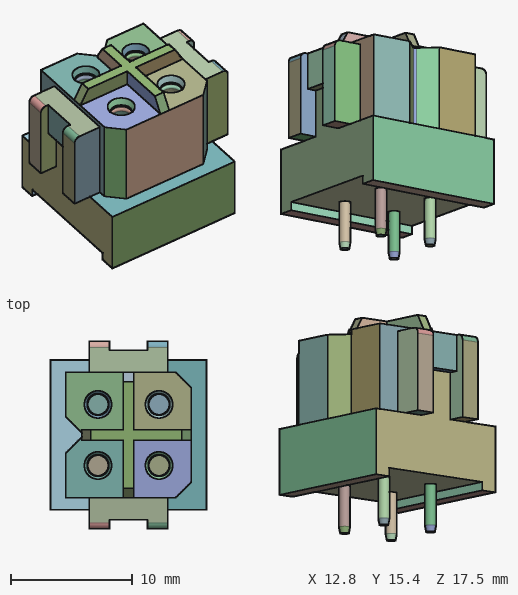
import cadquery as cq
import math


base_x = 12.8
base_y = 12.3
base_top = 5.5
foot_width = 1.42
foot_height = 0.7

block_width = 10.3
block_top = 12.86
corner_chamfer = 1.3
notch_half_width = 1.5
notch_radius = 0.21
half_block = block_width / 2

rib_width = 0.88
rib_top = 14.25
overall_z = 17.5
rib_notch_end = -3.82
rib_notch_lip = 0.12
rib_slope = math.tan(math.radians(30))

overall_y = 15.4
clip_width = 6.44
clip_top = 12.45
clip_edge_radius = 0.5
window_width = 3.12
bridge_y = 6.96
bridge_bottom = 9.42

pitch = 5.0
mouth_radius = 1.12
throat_radius = 0.9
mouth_depth = 0.56
throat_depth = 0.7

barrel_radius = 1.15
barrel_depth = 0.95
barrel_top = block_top - barrel_depth
lip_radius = 0.21
bore_radius = 0.84
floor_thickness = 0.52
tail_radius = 0.47
tail_end = rib_top - overall_z
tip_radius = 0.37
tip_length = 0.52

contact_places = [(x * pitch / 2, y * pitch / 2) for x in (-1, 1) for y in (-1, 1)]


def box(x_min, x_max, y_min, y_max, z_min, z_max):
    """Box between the given limits."""
    size = (x_max - x_min, y_max - y_min, z_max - z_min)
    return cq.Workplane("XY").box(*size, centered=False).translate((x_min, y_min, z_min))


def make_base():
    """Block with a channel along Y below it, which leaves a foot on each side."""
    base = box(-base_x / 2, base_x / 2, -base_y / 2, base_y / 2, 0, base_top)
    channel_half = base_x / 2 - foot_width
    return base.cut(box(-channel_half, channel_half, -base_y / 2, base_y / 2, 0, foot_height))


def make_block():
    """Square block with chamfered +X corners and a round-bottomed V notch in its -X side."""
    height = block_top - base_top
    block = cq.Workplane("XY").workplane(offset=base_top).rect(block_width, block_width).extrude(height)
    block = block.edges("|Z and >X").chamfer(corner_chamfer)
    notch = (
        cq.Workplane("XY").workplane(offset=base_top)
        .moveTo(-half_block, -notch_half_width)
        .lineTo(-half_block + notch_half_width, 0)
        .lineTo(-half_block, notch_half_width)
        .close().extrude(height)
        .edges("|Z and >X").fillet(notch_radius)
    )
    return block.cut(notch)


def make_ribs():
    """Two crossed ribs with sloping ends."""
    height = rib_top - block_top
    run = height * rib_slope
    lip_run = (height - rib_notch_lip) * rib_slope
    rib_y = (
        cq.Workplane("YZ")
        .moveTo(-half_block, block_top)
        .lineTo(half_block, block_top)
        .lineTo(half_block - run, rib_top)
        .lineTo(-half_block + run, rib_top)
        .close().extrude(rib_width / 2, both=True)
    )
    rib_x = (
        cq.Workplane("XZ")
        .moveTo(rib_notch_end, block_top)
        .lineTo(half_block, block_top)
        .lineTo(half_block - run, rib_top)
        .lineTo(rib_notch_end + lip_run, rib_top)
        .lineTo(rib_notch_end, block_top + rib_notch_lip)
        .close().extrude(rib_width / 2, both=True)
    )
    return rib_y.union(rib_x)


def make_clips():
    """Clip on each Y side: two round-topped arms, a bridge between them and a web below it."""
    clips = box(-clip_width / 2, clip_width / 2, -overall_y / 2, overall_y / 2, base_top, clip_top)
    clips = clips.edges("|X and >Z").fillet(clip_edge_radius)
    half_window = window_width / 2
    for side in (-1, 1):
        above = sorted((side * bridge_y, side * overall_y / 2))
        below = sorted((side * base_y / 2, side * overall_y / 2))
        clips = clips.cut(box(-half_window, half_window, *above, base_top, clip_top))
        clips = clips.cut(box(-half_window, half_window, *below, base_top, bridge_bottom))
    return clips


def make_cavity():
    """Space for one contact: tapered mouth, throat, barrel chamber and tail hole, on the Z axis."""
    return (
        cq.Workplane("XZ")
        .moveTo(0, 0)
        .lineTo(tail_radius, 0)
        .lineTo(tail_radius, base_top)
        .lineTo(barrel_radius, base_top)
        .lineTo(barrel_radius, block_top - throat_depth)
        .lineTo(throat_radius, block_top - throat_depth)
        .lineTo(throat_radius, block_top - mouth_depth)
        .lineTo(mouth_radius, block_top)
        .lineTo(0, block_top)
        .close().revolve(360, (0, 0, 0), (0, 1, 0))
    )


def make_housing():
    """Base, block, ribs and clips as one solid, with the contact cavities cut through it."""
    housing = make_base().union(make_clips()).union(make_block()).union(make_ribs())
    for x, y in contact_places:
        housing = housing.cut(make_cavity().translate((x, y, 0)))
    return housing


def make_contact():
    """Socket barrel with a rounded inner lip and a solid tail with a tapered tip, on the Z axis."""
    lip_shift = lip_radius * (1 - math.sqrt(0.5))
    return (
        cq.Workplane("XZ")
        .moveTo(0, tail_end)
        .lineTo(tip_radius, tail_end)
        .lineTo(tail_radius, tail_end + tip_length)
        .lineTo(tail_radius, base_top)
        .lineTo(barrel_radius, base_top)
        .lineTo(barrel_radius, barrel_top)
        .lineTo(bore_radius + lip_radius, barrel_top)
        .threePointArc(
            (bore_radius + lip_shift, barrel_top - lip_shift),
            (bore_radius, barrel_top - lip_radius),
        )
        .lineTo(bore_radius, base_top + floor_thickness)
        .lineTo(0, base_top + floor_thickness)
        .close().revolve(360, (0, 0, 0), (0, 1, 0))
    )


housing = make_housing()
contacts = [make_contact().translate((x, y, 0)) for x, y in contact_places]

result = cq.Compound.makeCompound([housing.val(), *[contact.val() for contact in contacts]])